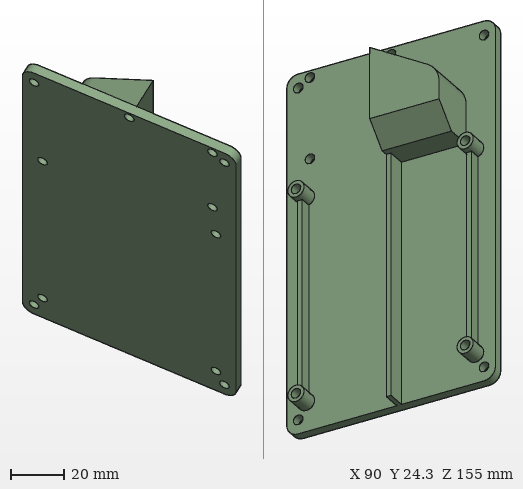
import cadquery as cq
import math


plate_width = 90.0
plate_height = 155.0
plate_thickness = 4.0
corner_radius = 5.0

hole_diameter = 4.0
corner_hole_side_inset = 5.0
corner_hole_end_inset = 6.0
bracket_hole_pitch = 35.0
bracket_hole_top_inset = 3.0

post_diameter = 7.0
post_top_y = 12.0
post_spacing_x = 73.0
post_bottom_z = 12.5
post_spacing_z = 88.0
rib_top_y = 9.0
rib_thickness = 2.0

block_top_y = 24.3
block_left_x = -32.4
block_right_x = -2.5
block_bottom_z = 104.3
block_peak_z = 144.3
shoulder_radius = 10.0
slope_angle = math.radians(30)
chamfer_size = 9.3

wall_thickness = 2.0

plate_left_x = -plate_width / 2
post_places = [
    (side * post_spacing_x / 2, z)
    for side in (-1, 1)
    for z in (post_bottom_z, post_bottom_z + post_spacing_z)
]


def box(x_range, y_range, z_range):
    """Axis-aligned box between the given limits."""
    (x0, x1), (y0, y1), (z0, z1) = x_range, y_range, z_range
    return cq.Workplane("XY").box(x1 - x0, y1 - y0, z1 - z0, centered=False).translate((x0, y0, z0))


def cylinders(places, diameter, height):
    """Round bars rising along +Y from Y = 0 at the given (x, z) places."""
    return cq.Workplane("XZ").pushPoints(places).circle(diameter / 2).extrude(-height)


def make_plate():
    plate = box((plate_left_x, -plate_left_x), (0, plate_thickness), (0, plate_height))
    return plate.edges("|Y").fillet(corner_radius)


def make_ribs():
    ribs = cq.Workplane("XY")
    for side in (-1, 1):
        middle_x = side * post_spacing_x / 2
        rib = box(
            (middle_x - rib_thickness / 2, middle_x + rib_thickness / 2),
            (0, rib_top_y),
            (post_bottom_z, post_bottom_z + post_spacing_z),
        )
        ribs = ribs.add(rib)
    return ribs.combine()


def make_block():
    turn = math.pi / 2 - slope_angle
    arc_end_x = block_left_x + shoulder_radius * (1 - math.cos(turn))
    arc_end_z = block_peak_z - (block_right_x - arc_end_x) * math.tan(slope_angle)
    arc_start_z = arc_end_z - shoulder_radius * math.sin(turn)
    arc_middle = (
        block_left_x + shoulder_radius * (1 - math.cos(turn / 2)),
        arc_start_z + shoulder_radius * math.sin(turn / 2),
    )
    block = (
        cq.Workplane("XZ")
        .moveTo(block_right_x, block_bottom_z)
        .lineTo(block_left_x, block_bottom_z)
        .lineTo(block_left_x, arc_start_z)
        .threePointArc(arc_middle, (arc_end_x, arc_end_z))
        .lineTo(block_right_x, block_peak_z)
        .close()
        .extrude(-block_top_y)
    )
    return block.faces(">Y").edges("<Z").chamfer(chamfer_size)


def make_wall():
    return box((block_right_x - wall_thickness, block_right_x), (0, post_top_y), (0, block_bottom_z))


def make_holes():
    corner_x = plate_width / 2 - corner_hole_side_inset
    corner_places = [
        (side * corner_x, z)
        for side in (-1, 1)
        for z in (corner_hole_end_inset, plate_height - corner_hole_end_inset)
    ]
    bracket_top_z = plate_height - bracket_hole_top_inset
    bracket_places = [
        (0, bracket_top_z),
        (bracket_hole_pitch, bracket_top_z),
        (bracket_hole_pitch, bracket_top_z - bracket_hole_pitch),
    ]
    return cylinders(corner_places + bracket_places + post_places, hole_diameter, block_top_y)


result = (
    make_plate()
    .union(cylinders(post_places, post_diameter, post_top_y))
    .union(make_ribs())
    .union(make_block())
    .union(make_wall())
    .cut(make_holes())
)